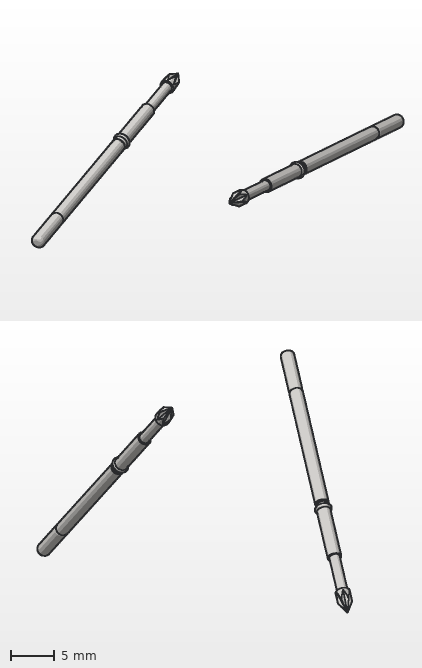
import cadquery as cq
import math

length = 37.0

barrel_radius = 0.8
barrel_length = 29.1
base_round = 0.48

ring_radius = 1.0
ring_start = 21.98
ring_width = 0.5

groove_start = 21.42
groove_floor = 0.15
groove_shoulder = 0.22
groove_depth = 0.15

crimp_center = 5.5
crimp_shoulder = 0.22
crimp_depth = 0.1

neck_radius = 0.63
neck_overlap = 0.37
head_radius = 0.85
head_length = 2.95

flute_count = 6
ridge_angle = 30.0
valley_end = 2.7


def rod(radius, start, end):
    """Cylinder about the Y axis."""
    return cq.Workplane("XZ", origin=(0, start, 0)).circle(radius).extrude(start - end)


def shoulder_middle(wall, valley, depth):
    """Middle of an arc that leaves the barrel wall tangentially at `wall` and sinks `depth` by `valley`."""
    run = valley - wall
    radius = (run**2 + depth**2) / (2 * depth)
    half_sweep = math.asin(run / radius) / 2
    drop = radius * (1 - math.cos(half_sweep))
    return wall + radius * math.sin(half_sweep), barrel_radius - drop


def barrel_body():
    """Barrel with a rounded base, its ring, groove and crimp."""
    crimp_start = crimp_center - crimp_shoulder
    crimp_end = crimp_center + crimp_shoulder
    floor_end = groove_start + groove_floor
    groove_end = floor_end + groove_shoulder
    ring_end = ring_start + ring_width
    base_round_inset = base_round * (1 - math.sqrt(0.5))
    profile = (
        cq.Workplane("YZ")
        .lineTo(0, barrel_radius - base_round)
        .threePointArc(
            (base_round_inset, barrel_radius - base_round_inset),
            (base_round, barrel_radius),
        )
        .lineTo(crimp_start, barrel_radius)
        .threePointArc(
            shoulder_middle(crimp_start, crimp_center, crimp_depth),
            (crimp_center, barrel_radius - crimp_depth),
        )
        .threePointArc(
            shoulder_middle(crimp_end, crimp_center, crimp_depth),
            (crimp_end, barrel_radius),
        )
        .lineTo(groove_start, barrel_radius)
        .lineTo(groove_start, barrel_radius - groove_depth)
        .lineTo(floor_end, barrel_radius - groove_depth)
        .threePointArc(
            shoulder_middle(groove_end, floor_end, groove_depth),
            (groove_end, barrel_radius),
        )
        .lineTo(ring_start, barrel_radius)
        .threePointArc((ring_start + ring_width / 2, ring_radius), (ring_end, barrel_radius))
        .lineTo(barrel_length, barrel_radius)
        .lineTo(barrel_length, 0)
        .close()
    )
    return profile.revolve(360, (0, 0, 0), (1, 0, 0))


def flute_cutter():
    """V prism on the +Z side; its bottom edge runs from the point along the flute valley."""
    valley_angle = math.atan2(head_radius, valley_end)
    half_pitch = math.pi / flute_count
    ridge_slope = math.tan(math.radians(ridge_angle))
    ridge_offset = ridge_slope * math.sin(half_pitch)
    ridge_height = (
        ridge_slope * math.cos(half_pitch) * math.cos(valley_angle) - math.sin(valley_angle)
    )
    opening_height = 2 * head_radius
    opening_half_width = opening_height * ridge_offset / ridge_height
    lead = head_radius
    start = (0, length + lead * math.cos(valley_angle), -lead * math.sin(valley_angle))
    along_valley = (0, -math.cos(valley_angle), math.sin(valley_angle))
    right_corner = (opening_half_width, opening_height)
    left_corner = (-opening_half_width, opening_height)
    return (
        cq.Workplane(cq.Plane(origin=start, xDir=(1, 0, 0), normal=along_valley))
        .polyline([(0, 0), right_corner, left_corner])
        .close()
        .extrude(lead + 2 * valley_end)
    )


def plunger():
    """Neck and a head cut by flutes that leave sharp ridges meeting at the point."""
    body = rod(head_radius, length - head_length, length)
    cutter = flute_cutter()
    for i in range(flute_count):
        body = body.cut(cutter.rotate((0, 0, 0), (0, 1, 0), i * 360 / flute_count))
    return body.union(rod(neck_radius, barrel_length - neck_overlap, length - head_length))


result = barrel_body().union(plunger())